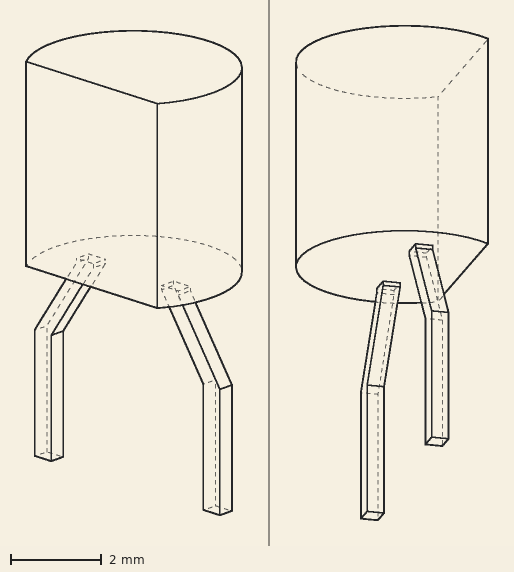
import cadquery as cq
import math

total_height = 9.76

body_height = 4.8
body_radius = 2.4
flat_distance = 1.34

lead_span = 5.62
lead_width = 0.51
lead_thickness = 0.39
lead_splay = 1.27
upper_bend_drop = 0.1
lower_bend_drop = 2.0

body_bottom = total_height - body_height


def make_body():
    half_chord = math.sqrt(body_radius**2 - flat_distance**2)
    return (
        cq.Workplane("XY", origin=(0, 0, body_bottom))
        .moveTo(-half_chord, -flat_distance)
        .threePointArc((0, body_radius), (half_chord, -flat_distance))
        .close()
        .extrude(body_height)
    )


def make_lead(side):
    """Make one lead; side is -1 for the -X lead and +1 for the +X lead."""
    foot_outer = lead_span / 2
    foot_inner = foot_outer - lead_width
    top_outer = foot_outer - lead_splay
    top_inner = foot_inner - lead_splay
    upper_bend = body_bottom - upper_bend_drop
    lower_bend = body_bottom - lower_bend_drop
    outline = [
        (top_inner, body_bottom),
        (top_outer, body_bottom),
        (top_outer, upper_bend),
        (foot_outer, lower_bend),
        (foot_outer, 0),
        (foot_inner, 0),
        (foot_inner, lower_bend),
        (top_inner, upper_bend),
    ]
    return (
        cq.Workplane("XZ")
        .polyline([(side * x, z) for x, z in outline])
        .close()
        .extrude(lead_thickness / 2, both=True)
    )


result = make_body()
for side in (-1, 1):
    result = result.union(make_lead(side))